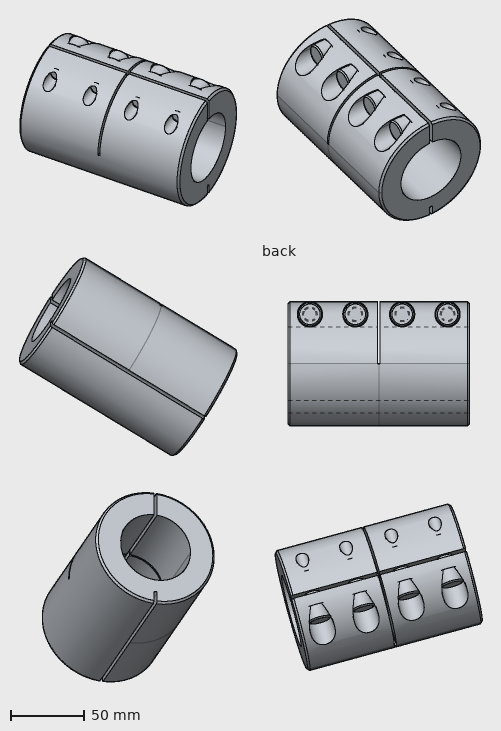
import cadquery as cq


length = 124.0
outer_diameter = 85.0
bore_diameter = 50.0
end_chamfer = 1.5

clamp_slit_width = 2.2
relief_slot_depth = 8.7
cross_slit_width = 1.5

screw_height = 33.7
inner_screw_x = 16.0
outer_screw_x = 47.0
head_diameter = 16.0
head_length = 10.0
head_chamfer = 1.0
shank_diameter = 10.0
shank_length = 25.0
seat_y = 9.0

pocket_diameter = 17.2
tip_hole_diameter = 8.5

outer_radius = outer_diameter / 2
shank_end_y = seat_y - shank_length
screw_positions = [-outer_screw_x, -inner_screw_x, inner_screw_x, outer_screw_x]


def cylinder_along_y(x, diameter, start_y, end_y):
    """Cylinder on a screw axis, from start_y towards +Y up to end_y."""
    plane = cq.Plane(origin=(x, start_y, screw_height), xDir=(1, 0, 0), normal=(0, 1, 0))
    return cq.Workplane(plane).circle(diameter / 2).extrude(end_y - start_y)


def make_sleeve():
    """Chamfered tube centred on the origin."""
    return (
        cq.Workplane("YZ")
        .circle(outer_radius)
        .extrude(length / 2, both=True)
        .faces("<X or >X")
        .chamfer(end_chamfer)
        .cut(cq.Workplane("YZ").circle(bore_diameter / 2).extrude(length / 2, both=True))
    )


def make_clamp_slit():
    """Full-length slot through the top wall."""
    return cq.Workplane("XY").box(length, clamp_slit_width, outer_radius, centered=(True, True, False))


def make_relief_slot():
    """Full-length groove in the bottom wall with a rounded floor."""
    slot_radius = clamp_slit_width / 2
    arc_z = relief_slot_depth - outer_radius - slot_radius
    return (
        cq.Workplane("YZ")
        .moveTo(-slot_radius, -outer_radius)
        .lineTo(-slot_radius, arc_z)
        .threePointArc((0, arc_z + slot_radius), (slot_radius, arc_z))
        .lineTo(slot_radius, -outer_radius)
        .close()
        .extrude(length / 2, both=True)
    )


def make_cross_slit():
    """Slot across the upper half of the collar at mid-length."""
    return cq.Workplane("XY").box(
        cross_slit_width, outer_diameter, outer_radius, centered=(True, True, False)
    )


def make_screw_hole(x):
    """Head pocket, shank hole and narrower tip hole on one screw axis."""
    tip_hole = cylinder_along_y(x, tip_hole_diameter, -outer_radius, shank_end_y)
    shank_hole = cylinder_along_y(x, shank_diameter, shank_end_y, seat_y)
    pocket = cylinder_along_y(x, pocket_diameter, seat_y, outer_radius)
    return tip_hole.union(shank_hole).union(pocket)


def make_collar():
    collar = make_sleeve().cut(make_clamp_slit()).cut(make_relief_slot()).cut(make_cross_slit())
    for x in screw_positions:
        collar = collar.cut(make_screw_hole(x))
    return collar


def make_screw(x):
    """Cap screw with a chamfered head, its shank pointing towards -Y."""
    head = cylinder_along_y(x, head_diameter, seat_y, seat_y + head_length)
    head = head.faces(">Y").chamfer(head_chamfer)
    return head.union(cylinder_along_y(x, shank_diameter, shank_end_y, seat_y))


collar = make_collar()
screws = [make_screw(x) for x in screw_positions]

result = cq.Compound.makeCompound([collar.val(), *[screw.val() for screw in screws]])